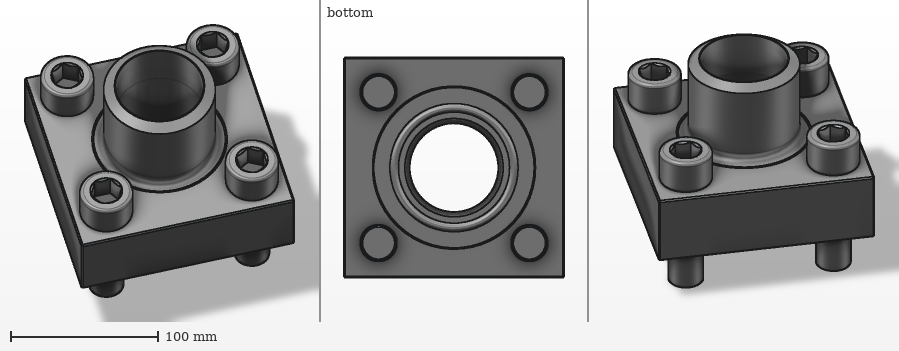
import cadquery as cq
import math

block_side = 150.0
block_height = 48.0
edge_chamfer = 1.0
neck_hole_radius = 45.0
screw_pitch = 102.6
screw_hole_diameter = 25.0
collar_recess_radius = 55.5
collar_recess_depth = 15.0

tube_diameter = 76.0
tube_height = 59.1
bore_diameter = 60.2
bore_straight_length = 30.0
bore_mouth_diameter = 67.0
rim_width = 0.6
bevel_angle = 30.0
neck_body_diameter = 89.5
collar_diameter = 110.0
collar_drop = 1.8
collar_chamfer = 0.5

groove_inner_radius = 37.8
groove_outer_radius = 43.6
seal_drop = 1.4

shank_radius = 12.0
shank_tip_drop = 32.0
shank_tip_chamfer = 1.0
head_radius = 18.0
head_height = 24.0
head_fillet = 2.4
socket_corner_diameter = 21.9
socket_depth = 16.5
socket_countersink_angle = 45.0

tube_radius = tube_diameter / 2
bore_radius = bore_diameter / 2
bore_mouth_radius = bore_mouth_diameter / 2
neck_body_radius = neck_body_diameter / 2
collar_radius = collar_diameter / 2
neck_top = block_height + tube_height
neck_bottom = -collar_drop
rim_radius = bore_radius + rim_width
bevel_height = (tube_radius - rim_radius) * math.tan(math.radians(bevel_angle))
neck_fillet = neck_body_radius - tube_radius
seal_radius = (groove_outer_radius - groove_inner_radius) / 2
seal_center_radius = (groove_outer_radius + groove_inner_radius) / 2
seal_bottom = neck_bottom - seal_drop
groove_depth = 2 * seal_radius - seal_drop
countersink_depth = socket_corner_diameter / 2 * math.tan(math.radians(socket_countersink_angle))


def disc(radius, bottom, top):
    """Upright cylinder on the Z axis between two heights."""
    return cq.Workplane("XY").workplane(offset=bottom).circle(radius).extrude(top - bottom)


def make_block():
    block = cq.Workplane("XY").box(block_side, block_side, block_height, centered=(True, True, False))
    block = block.edges().chamfer(edge_chamfer)
    block = block.cut(disc(neck_hole_radius, 0, block_height))
    block = block.faces(">Z").edges("%CIRCLE").chamfer(edge_chamfer)
    block = block.cut(disc(collar_recess_radius, 0, collar_recess_depth))
    screw_holes = (
        cq.Workplane("XY")
        .rect(screw_pitch, screw_pitch, forConstruction=True)
        .vertices()
        .circle(screw_hole_diameter / 2)
        .extrude(block_height)
    )
    return block.cut(screw_holes)


def make_neck():
    arc_middle = neck_fillet * (1 - math.sqrt(0.5))
    profile = (
        cq.Workplane("XZ")
        .moveTo(bore_mouth_radius, neck_bottom)
        .lineTo(collar_radius - collar_chamfer, neck_bottom)
        .lineTo(collar_radius, neck_bottom + collar_chamfer)
        .lineTo(collar_radius, collar_recess_depth)
        .lineTo(neck_body_radius, collar_recess_depth)
        .lineTo(neck_body_radius, block_height)
        .threePointArc(
            (tube_radius + arc_middle, block_height + arc_middle),
            (tube_radius, block_height + neck_fillet),
        )
        .lineTo(tube_radius, neck_top - bevel_height)
        .lineTo(rim_radius, neck_top)
        .lineTo(bore_radius, neck_top)
        .lineTo(bore_radius, neck_top - bore_straight_length)
        .close()
    )
    neck = profile.revolve(360, (0, 0), (0, 1))
    groove_top = neck_bottom + groove_depth
    groove = disc(groove_outer_radius, neck_bottom, groove_top).cut(
        disc(groove_inner_radius, neck_bottom, groove_top)
    )
    return neck.cut(groove)


def make_seal():
    """Round-section ring that touches the groove's walls and roof."""
    section = cq.Workplane("XZ").center(seal_center_radius, seal_bottom + seal_radius).circle(seal_radius)
    return section.revolve(360, (-seal_center_radius, 0), (-seal_center_radius, 1))


def make_screw(quarter_turns):
    """Screw at the +X +Y corner, carried round the Z axis with its socket."""
    head_top = block_height + head_height
    head = disc(head_radius, block_height, head_top).edges().fillet(head_fillet)
    shank = disc(shank_radius, -shank_tip_drop, block_height).faces("<Z").chamfer(shank_tip_chamfer)
    socket = (
        cq.Workplane("XY")
        .workplane(offset=head_top - socket_depth)
        .polygon(6, socket_corner_diameter)
        .extrude(socket_depth)
    )
    countersink = cq.Solid.makeCone(0, socket_corner_diameter / 2, countersink_depth)
    countersink = cq.Workplane(countersink.translate(cq.Vector(0, 0, head_top - countersink_depth)))
    screw = head.union(shank).cut(socket).cut(countersink)
    screw = screw.translate((screw_pitch / 2, screw_pitch / 2, 0))
    return screw.rotate((0, 0, 0), (0, 0, 1), 90 * quarter_turns)


block = make_block()
neck = make_neck()
seal = make_seal()
screws = [make_screw(quarter_turns) for quarter_turns in range(4)]

result = cq.Compound.makeCompound(
    [block.val(), neck.val(), seal.val(), *[screw.val() for screw in screws]]
)